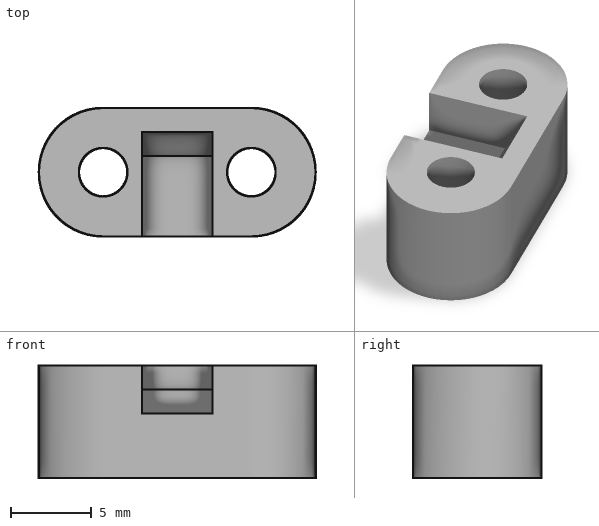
import cadquery as cq

length = 17.2
width = 8.0
height = 7.0
end_spacing = length - width

hole_diameter = 3.0

pocket_width = 4.4
pocket_depth = 3.0
back_wall_thickness = 1.5
ramp_size = 1.5


def make_body():
    return cq.Workplane("XY").slot2D(length, width).extrude(height)


def make_holes():
    return (
        cq.Workplane("XY")
        .pushPoints([(-end_spacing / 2, 0), (end_spacing / 2, 0)])
        .circle(hole_diameter / 2)
        .extrude(height)
    )


def make_pocket():
    front = -width / 2
    back = width / 2 - back_wall_thickness
    floor = height - pocket_depth
    return (
        cq.Workplane("YZ")
        .moveTo(front, height)
        .lineTo(front, floor)
        .lineTo(back - ramp_size, floor)
        .lineTo(back, floor + ramp_size)
        .lineTo(back, height)
        .close()
        .extrude(pocket_width / 2, both=True)
    )


result = make_body().cut(make_holes()).cut(make_pocket())